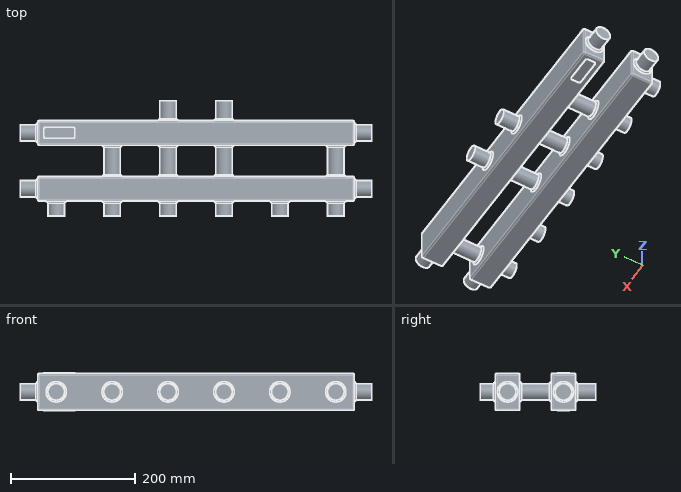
import cadquery as cq


beam_length = 510.0
beam_width = 40.0
beam_height = 60.0
beam_edge_radius = 3.0
beam_spacing = 90.0
front_beam_y = -beam_spacing / 2
rear_beam_y = beam_spacing / 2

pipe_diameter = 26.8
weld_size = 3.0
end_pipe_length = 28.0
front_pipe_length = 24.0
rear_pipe_length = 32.0
gap_length = beam_spacing - beam_width

pipe_pitch = 90.0
front_pipe_count = 6
first_pipe_x = -pipe_pitch * (front_pipe_count - 1) / 2
pipe_stations = [first_pipe_x + i * pipe_pitch for i in range(front_pipe_count)]
connecting_stations = [pipe_stations[i] for i in (1, 2, 3, 5)]
rear_stations = [pipe_stations[i] for i in (2, 3)]

plate_length = 50.0
plate_width = 18.0
plate_thickness = 0.5
plate_corner_radius = 3.0
plate_offset = 35.0


def beam(y):
    """Solid beam along X with all edges rounded."""
    block = cq.Workplane("XY").box(beam_length, beam_width, beam_height)
    return block.edges().fillet(beam_edge_radius).translate((0, y, 0))


def pipe(root, direction, length, weld_at_far_end=False):
    """Round pipe leaving a beam face at root, with a weld cone at the root or at both ends."""
    pipe_radius = pipe_diameter / 2
    weld_radius = pipe_radius + weld_size
    profile = cq.Workplane("XZ").lineTo(weld_radius, 0).lineTo(pipe_radius, weld_size)
    if weld_at_far_end:
        profile = profile.lineTo(pipe_radius, length - weld_size).lineTo(weld_radius, length)
    else:
        profile = profile.lineTo(pipe_radius, length)
    profile = profile.lineTo(0, length).close()
    solid = profile.revolve(360, (0, 0, 0), (0, 1, 0)).val()
    return cq.Workplane(obj=solid.moved(cq.Location(cq.Plane(origin=root, normal=direction))))


def name_plate():
    """Thin rounded plate on the rear beam's top face, near its -X end."""
    plate = cq.Workplane("XY").rect(plate_length, plate_width).extrude(plate_thickness)
    plate = plate.edges("|Z").fillet(plate_corner_radius)
    return plate.translate((-beam_length / 2 + plate_offset, rear_beam_y, beam_height / 2))


def end_pipes(body):
    """One pipe on each end of each beam."""
    for y in (front_beam_y, rear_beam_y):
        for side in (-1, 1):
            root = (side * beam_length / 2, y, 0)
            body = body.union(pipe(root, (side, 0, 0), end_pipe_length))
    return body


def front_pipes(body):
    """Row of pipes on the -Y side of the front beam."""
    for x in pipe_stations:
        root = (x, front_beam_y - beam_width / 2, 0)
        body = body.union(pipe(root, (0, -1, 0), front_pipe_length))
    return body


def rear_pipes(body):
    """Pair of pipes on the +Y side of the rear beam."""
    for x in rear_stations:
        root = (x, rear_beam_y + beam_width / 2, 0)
        body = body.union(pipe(root, (0, 1, 0), rear_pipe_length))
    return body


def connecting_pipes(body):
    """Pipes bridging the gap between the beams, welded at both ends."""
    for x in connecting_stations:
        root = (x, front_beam_y + beam_width / 2, 0)
        body = body.union(pipe(root, (0, 1, 0), gap_length, weld_at_far_end=True))
    return body


result = beam(front_beam_y).union(beam(rear_beam_y))
result = connecting_pipes(result)
result = front_pipes(result)
result = rear_pipes(result)
result = end_pipes(result)
result = result.union(name_plate()).union(name_plate().mirror("XY"))
result = result.clean()